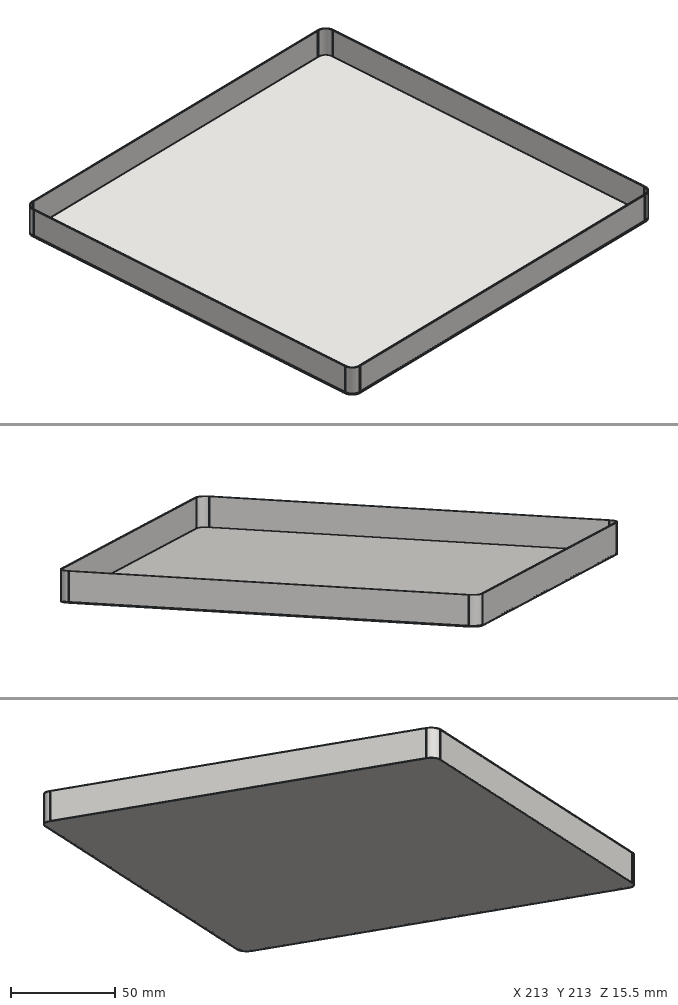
import cadquery as cq

side = 213.0
height = 15.5
wall = 0.5
floor = 0.5
corner_radius = 5.1
slit_width = 0.32


def rounded_block(width, depth, radius):
    """Square block standing on Z = 0 with rounded vertical edges."""
    block = cq.Workplane("XY").box(width, width, depth, centered=(True, True, False))
    return block.edges("|Z").fillet(radius)


def slit_cutters():
    """Thin plates spanning the tray above the floor, one at each end of the straight walls."""
    offset = side / 2 - corner_radius - slit_width / 2
    along_y = (
        cq.Workplane("XY", origin=(0, 0, floor))
        .pushPoints([(-offset, 0), (offset, 0)])
        .rect(slit_width, side)
        .extrude(height - floor)
    )
    along_x = along_y.rotate((0, 0, 0), (0, 0, 1), 90)
    return along_y.union(along_x)


outer = rounded_block(side, height, corner_radius)
cavity = rounded_block(side - 2 * wall, height - floor, corner_radius - wall)
tray = outer.cut(cavity.translate((0, 0, floor)))

result = tray.cut(slit_cutters())